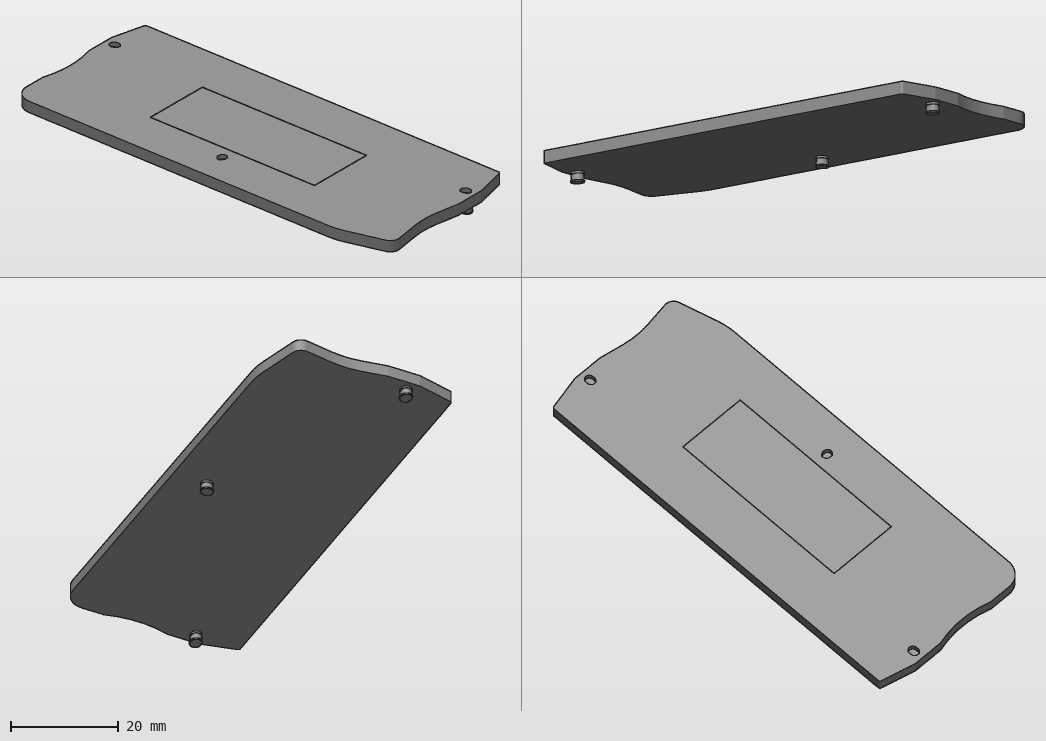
import cadquery as cq
import math

length = 90.0
width = 36.0
plate_thickness = 2.4
half_length = length / 2
half_width = width / 2

top_edge_length = 86.4
taper_end_y = 10.4
straight_end_y = 3.9
top_corner_radius = 0.45

left_arc_end_y = -9.4
left_arc_depth = 1.0
lower_left_radius = 4.05

valley_y = -4.5
valley_depth = 1.4
valley_radius = 18.9

slope_start_x = 33.6
slope_angle = 15.0
slope_end_x = 45.3
slope_start_radius = 14.9
slope_end_radius = 2.0

label_length = 40.0
label_width = 14.9
label_center_y = -0.5
label_depth = 0.1

end_pin_x = 42.75
end_pin_y = 8.6
center_pin_y = -11.0
end_pin_stretch = 0.45
center_pin_stretch = 0.3
pins = [
    (-end_pin_x, end_pin_y, end_pin_stretch, 0),
    (end_pin_x, end_pin_y, end_pin_stretch, 0),
    (0, center_pin_y, center_pin_stretch, 90),
]
pin_length = 2.0
collar_length = 0.45
collar_radius = 1.1
neck_radius = 1.0
lip_radius = 1.2
lip_height = 0.3
socket_radius = 0.9
socket_depth = 1.0


def make_plate():
    """Extrude the sharp outline downwards, then round its vertical edges."""
    top_x = top_edge_length / 2
    slope_rise = (slope_end_x - slope_start_x) * math.tan(math.radians(slope_angle))
    slope_end_y = -half_width + slope_rise
    valley_x = half_length - valley_depth
    left_arc_y = (straight_end_y + left_arc_end_y) / 2
    plate = (
        cq.Workplane("XY")
        .moveTo(-top_x, half_width)
        .lineTo(top_x, half_width)
        .lineTo(half_length, taper_end_y)
        .lineTo(half_length, straight_end_y)
        .lineTo(valley_x, valley_y)
        .lineTo(slope_end_x, slope_end_y)
        .lineTo(slope_start_x, -half_width)
        .lineTo(-half_length, -half_width)
        .lineTo(-half_length, left_arc_end_y)
        .threePointArc((-half_length + left_arc_depth, left_arc_y), (-half_length, straight_end_y))
        .lineTo(-half_length, taper_end_y)
        .close()
        .extrude(-plate_thickness)
    )
    rounded_corners = [
        (-top_x, half_width, top_corner_radius),
        (top_x, half_width, top_corner_radius),
        (valley_x, valley_y, valley_radius),
        (slope_end_x, slope_end_y, slope_end_radius),
        (slope_start_x, -half_width, slope_start_radius),
        (-half_length, -half_width, lower_left_radius),
    ]
    for x, y, radius in rounded_corners:
        corner = cq.selectors.NearestToPointSelector((x, y, -plate_thickness / 2))
        plate = plate.edges("|Z").edges(corner).fillet(radius)
    return plate


def obround(z, radius, stretch):
    """Workplane at height z holding a round outline stretched along X."""
    return cq.Workplane("XY").workplane(offset=z).slot2D(2 * radius + stretch, 2 * radius)


def pin_section(z_top, top_radius, z_bottom, bottom_radius, stretch):
    """Straight or tapered length of a pin."""
    height = z_top - z_bottom
    taper = math.degrees(math.atan2(top_radius - bottom_radius, height))
    return obround(z_top, top_radius, stretch).extrude(-height, taper=taper)


def place(shape, x, y, angle):
    return shape.rotate((0, 0, 0), (0, 0, 1), angle).translate((x, y, 0))


def make_pin(stretch):
    """Straight collar, slightly narrower flaring stem, and a bevelled lip at the tip."""
    underside = -plate_thickness
    collar_bottom = underside - collar_length
    tip = underside - pin_length
    lip_top = tip + lip_height
    collar = pin_section(underside, collar_radius, collar_bottom, collar_radius, stretch)
    stem = pin_section(collar_bottom, neck_radius, lip_top, collar_radius, stretch)
    lip = pin_section(lip_top, lip_radius, tip, collar_radius, stretch)
    return collar.union(stem).union(lip)


result = make_plate()
label = cq.Workplane("XY").center(0, label_center_y).rect(label_length, label_width).extrude(-label_depth)
result = result.cut(label)
for x, y, stretch, angle in pins:
    result = result.union(place(make_pin(stretch), x, y, angle))
    socket = obround(0, socket_radius, stretch).extrude(-socket_depth)
    result = result.cut(place(socket, x, y, angle))